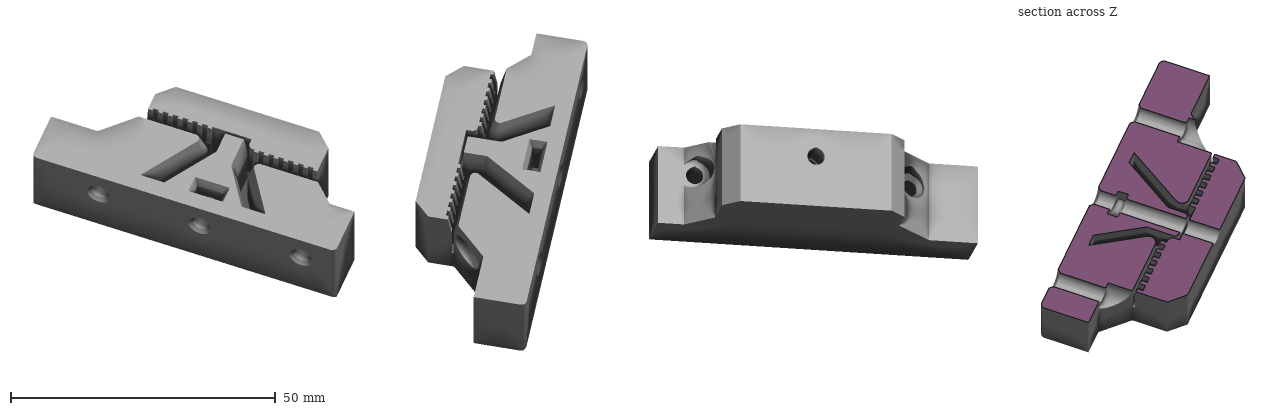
import cadquery as cq
import math

length = 61.5
depth = 25.0
height = 15.4

flange_depth = 10.0
axis_x = 3.25
block_length = 35.1
block_corner = 3.0
corner_radius = 1.0
bottom_chamfer = 0.5
block_left = axis_x - block_length / 2
block_right = axis_x + block_length / 2

channel_floor = 4.5
belt_thickness = 0.55
left_wall_y = 17.0
channel_step = 2.05
right_wall_y = left_wall_y - channel_step
belt_pitch = 2.0
tooth_width = 0.9
tooth_height = 1.2
tooth_count = 7
block_step_x = 6.5
block_step_radius = 1.0
groove_y = left_wall_y + belt_thickness + tooth_height

lead_in_height = 3.8
wall_lean = 15.0
tooth_lean = 9.0
tooth_ledge = 0.1
lead_in_floor = height - lead_in_height

tail_end_y = 3.35
tail_slope = 0.64
tail_axis_x = 2.6
tail_inner_half = 9.05
tail_outer_half = 11.45
post_width = 5.8
post_back_y = groove_y - belt_thickness
post_radius = 0.9
foot_radius = 1.45
foot_top_radius = 0.95

screw_spacing = 20.5
screw_z = 9.9
screw_radius = 1.65
mouth_radius = 2.33
mouth_angle = 45.0
head_radius = 2.9
roof_angle = 30.0
roof_ratio = 1.1

nut_length = 5.5
nut_thickness = 2.0
nut_y = 4.9
nut_lead_in = 0.75
nut_lead_in_depth = 1.5
nut_floor = screw_z - nut_length / 2

margin = 10.0


def box(x0, x1, y0, y1, z0, z1):
    return cq.Workplane("XY").box(x1 - x0, y1 - y0, z1 - z0, centered=False).translate((x0, y0, z0))


def prism(points, z0, z1):
    return cq.Workplane("XY").workplane(offset=z0).polyline(points).close().extrude(z1 - z0)


def body():
    """Flange with 45 degree shoulders rising to the clamp block."""
    left_rise = left_wall_y - flange_depth
    right_rise = right_wall_y - flange_depth
    outline = [
        (-length / 2, 0),
        (length / 2, 0),
        (length / 2, flange_depth),
        (block_right + right_rise, flange_depth),
        (block_right, right_wall_y),
        (block_right, depth - block_corner),
        (block_right - block_corner, depth),
        (block_left + block_corner, depth),
        (block_left, depth - block_corner),
        (block_left, left_wall_y),
        (block_left - left_rise, flange_depth),
        (-length / 2, flange_depth),
    ]
    solid = prism(outline, 0, height)
    for side in (-1, 1):
        corner = cq.selectors.NearestToPointSelector((side * length / 2, 0, height / 2))
        solid = solid.edges(corner).fillet(corner_radius)
    wedge = [(0, 0), (bottom_chamfer, 0), (0, bottom_chamfer)]
    chamfer = cq.Workplane("YZ").polyline(wedge).close().extrude(length / 2, both=True)
    return solid.cut(chamfer)


def tail_x(side, half, y):
    """X on a slanted tail wall that lies half from the tail axis at the tail end."""
    return tail_axis_x + side * (half - tail_slope * (y - tail_end_y))


def tail_y(side, half, x):
    """Y at which that wall reaches x."""
    return tail_end_y + (half - side * (x - tail_axis_x)) / tail_slope


def foot_outline(side, wall_y, half, radius, z):
    """Foot outside one tail: channel wall, rounded corner, then tail wall."""
    low_y = -margin
    corner_x = tail_x(side, half, wall_y)
    tail_angle = math.atan(tail_slope)
    half_angle = (math.pi / 2 - tail_angle) / 2
    tangent = radius / math.tan(half_angle)
    centre_y = wall_y - radius
    centre_x = corner_x + side * tangent
    arc_end = (corner_x + side * tangent * math.sin(tail_angle), wall_y - tangent * math.cos(tail_angle))
    to_corner = math.hypot(radius, tangent)
    arc_middle = (
        centre_x - side * tangent * radius / to_corner,
        centre_y + radius * radius / to_corner,
    )
    return (
        cq.Workplane("XY")
        .workplane(offset=z)
        .moveTo(side * length, wall_y)
        .lineTo(centre_x, wall_y)
        .threePointArc(arc_middle, arc_end)
        .lineTo(tail_x(side, half, low_y), low_y)
        .lineTo(side * length, low_y)
        .close()
    )


def foot(side, wall_y):
    """Upright up to the lead-in, then drawn back from the channel and the tail."""
    upright = foot_outline(side, wall_y, tail_outer_half, foot_radius, channel_floor)
    upright = upright.extrude(lead_in_floor - channel_floor)
    lean = lead_in_height * math.tan(math.radians(wall_lean))
    top_half = tail_outer_half + lean * math.hypot(1, tail_slope)
    low = foot_outline(side, wall_y, tail_outer_half, foot_radius, lead_in_floor)
    high = foot_outline(side, wall_y - lean, top_half, foot_top_radius, height)
    leaning = cq.Solid.makeLoft([low.val(), high.val()], True)
    return upright.union(cq.Workplane(obj=leaning))


def post():
    """Post between the tails: leaning sides, upright back with rounded corners."""
    left = axis_x - post_width / 2
    right = axis_x + post_width / 2

    def points(back_y, front_y):
        return [
            (left, back_y),
            (left, tail_y(-1, tail_inner_half, left)),
            (tail_x(-1, tail_inner_half, front_y), front_y),
            (tail_x(1, tail_inner_half, front_y), front_y),
            (right, tail_y(1, tail_inner_half, right)),
            (right, back_y),
        ]

    def outline(z):
        long_post = points(post_back_y + margin, -margin)
        return cq.Workplane("XY").workplane(offset=z).polyline(long_post).close()

    limit = prism(points(post_back_y, -margin), 0, height)
    limit = limit.edges("|Z and >Y").fillet(post_radius)
    upright = outline(channel_floor).extrude(lead_in_floor - channel_floor)
    leaning = outline(lead_in_floor).extrude(lead_in_height, taper=wall_lean)
    return upright.union(leaning).intersect(limit)


def tooth_row(first_x, wall_y):
    """Belt teeth hanging from the clamp block, tips bevelled towards the top."""
    tip_y = wall_y + belt_thickness
    root_y = tip_y + tooth_height
    bevel = lead_in_height * math.tan(math.radians(tooth_lean))
    profile = [
        (root_y, channel_floor),
        (tip_y, channel_floor),
        (tip_y, lead_in_floor),
        (tip_y + tooth_ledge, lead_in_floor),
        (tip_y + tooth_ledge + bevel, height),
        (root_y, height),
    ]
    tooth = cq.Workplane("YZ").polyline(profile).close().extrude(tooth_width)
    row = cq.Workplane("XY")
    for index in range(tooth_count):
        row = row.union(tooth.translate((first_x + index * belt_pitch, 0, 0)))
    return row


def clamp_block():
    """Block behind the belt, stepped between the channels, with its two rows of teeth."""
    right_groove_y = groove_y - channel_step
    main = box(-length, length, groove_y, depth, channel_floor, height)
    step = box(block_step_x, length, right_groove_y, depth, channel_floor, height)
    step = step.edges("|Z and <X and <Y").fillet(block_step_radius)
    row_length = (tooth_count - 1) * belt_pitch + tooth_width
    left_teeth = tooth_row(block_left, left_wall_y)
    right_teeth = tooth_row(block_right - row_length, right_wall_y)
    return main.union(step).union(left_teeth).union(right_teeth)


def belt_void():
    """Space left between feet, post and clamp block above the channel floor."""
    space = box(-length, length, tail_end_y, depth, channel_floor, height)
    for island in (foot(-1, left_wall_y), foot(1, right_wall_y), post(), clamp_block()):
        space = space.cut(island)
    return space


def teardrop(radius, x, y):
    """Bore outline across Y: a circle under a low roof cut off flat."""
    angle = math.radians(roof_angle)
    flank_x = radius * math.sin(angle)
    flank_z = radius * math.cos(angle)
    roof_z = roof_ratio * radius
    roof_half = (radius / math.cos(angle) - roof_z) / math.tan(angle)
    return (
        cq.Workplane("XZ", origin=(x, y, screw_z))
        .moveTo(roof_half, roof_z)
        .lineTo(flank_x, flank_z)
        .threePointArc((0, -radius), (-flank_x, flank_z))
        .lineTo(-roof_half, roof_z)
        .close()
    )


def screw_hole(x):
    """Through bore with a flared mouth in the mounting face."""
    bore = teardrop(screw_radius, x, 0).extrude(-depth)
    mouth = teardrop(mouth_radius, x, 0).extrude(-(mouth_radius - screw_radius), taper=mouth_angle)
    return bore.union(mouth)


def head_recess(x):
    """Room for a screw head behind the flange."""
    return teardrop(head_radius, x, flange_depth).extrude(flange_depth - depth)


def nut_pocket():
    """Slot for a nut on the middle screw, flared at the top."""
    slot = box(-nut_length / 2, nut_length / 2, -nut_thickness / 2, nut_thickness / 2, nut_floor, height)
    lead_in = (
        cq.Workplane("XY")
        .workplane(offset=height)
        .rect(nut_length + 2 * nut_lead_in, nut_thickness + 2 * nut_lead_in)
        .workplane(offset=-nut_lead_in_depth)
        .rect(nut_length, nut_thickness)
        .loft(ruled=True)
    )
    return slot.union(lead_in).translate((axis_x, nut_y, 0))


result = body().cut(belt_void()).cut(nut_pocket())
for place in (-1, 0, 1):
    result = result.cut(screw_hole(axis_x + place * screw_spacing))
for place in (-1, 1):
    result = result.cut(head_recess(axis_x + place * screw_spacing))